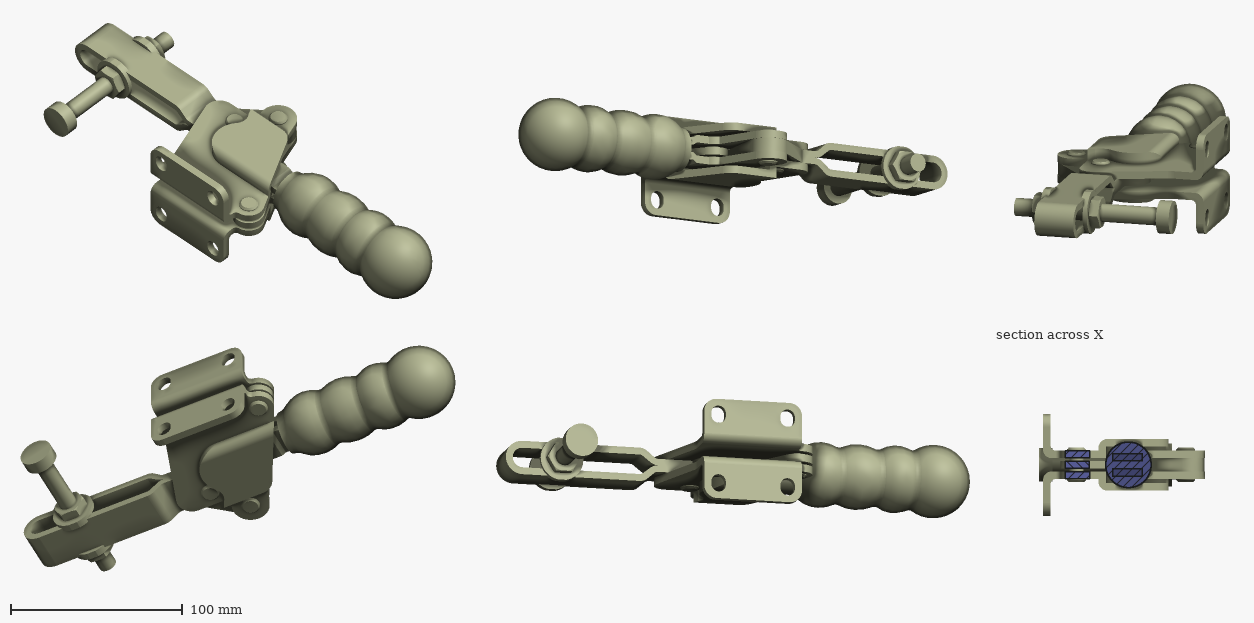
import cadquery as cq
import math


ARM_PIN = (0.0, 0.0)
LEVER_PIN = (16.7, 19.2)
LINK_PIN = (34.5, -13.3)
BASE_PIN = (53.4, -44.5)
PIN_RADIUS = 4.2
HEAD_RADIUS = 5.5
HEAD_HEIGHT = 1.7
HEAD_TAPER = 1.0

SHEET = 4.5
GAP = 4.0
PLATE_FACE = GAP + SHEET

BASE_LEFT = -7.0
BASE_RIGHT = 51.7
BASE_TOP = 9.2
BASE_BOTTOM = -64.0
BASE_WIDTH = 59.5
NOSE_CORNER = (-24.7, BASE_TOP)
KNEE_CORNER = (BASE_LEFT, -44.5)
SHOULDER_CORNER = (35.5, BASE_TOP)
NOSE_RADIUS = 9.2
KNEE_RADIUS = 11.0
SHOULDER_RADIUS = 9.7
BASE_LOBE_RADIUS = 9.2
LOBE_ROOT_RADIUS = 2.8
BEND_INSIDE = 2.8
BEND_OUTSIDE = 5.0
FLANGE_CORNER = 7.5
BEND_TOP = BASE_BOTTOM + SHEET + BEND_INSIDE
SLOT_WIDTH = 8.5
SLOT_LENGTH = 10.3
SLOT_PITCH = 41.5
SLOT_Z = 20.5

BULGE_HEIGHT = 6.7
BULGE_FACE = PLATE_FACE + BULGE_HEIGHT
BULGE_CENTER = (18.5, -15.5)
BULGE_RADIUS = 16.0
BULGE_START_X = 4.5
BULGE_ENTRY_ANGLE = 40
BULGE_EDGE_RADIUS = 5.3

ARM_TIP = -114.0
ARM_TOP = 8.5
ARM_WIDTH = 23.5
ARM_BOTTOM = ARM_TOP - ARM_WIDTH
LOOP_HALF = 10.0
LOOP_SHEET = 4.2
LOOP_BEND = -31.0
LOOP_END = -24.0
LOOP_BEND_RADIUS = 7.0
LOOP_END_RADIUS = 4.0
CRANK_START = -13.5
ARM_LOBE_RADIUS = 10.8
HEEL_CENTER = (10.0, ARM_BOTTOM)
HEEL_RADIUS = 12.0

LEVER_LOBE_RADIUS = 11.0
TANG_HALF = 8.5
LEVER_HEEL_RADIUS = 10.0
TANG_TOP = LINK_PIN[1] - LEVER_HEEL_RADIUS + 2 * TANG_HALF
TANG_CORNER_X = 36.7
JOG_START = 49.7
JOG_END = 52.2
LINK_HALF = 2.2
LINK_RADIUS = 9.2
TANG_IN_GRIP = 27.8

GRIP_AXIS_Y = -14.2
GRIP_START = 56.5
GRIP_END = 164.0
BALL_RADIUS = 21.5
BALL_START = 131.0
NECK_RADIUS = 12.8
NECK_END = (62.2, 15.0)
NECK_SAG = 0.5
GRIP_BULGES = [
    (73.6, 19.2, 83.5, 17.0),
    (97.0, 19.2, 106.7, 17.0),
    (120.0, 19.7, 127.5, 17.8),
]
GROOVE_WIDTH = 3.3
GROOVE_DEPTH = 0.3
TANG_END = GRIP_START + TANG_IN_GRIP

SPINDLE_X = -81.0
SPINDLE_RADIUS = 5.3
SPINDLE_TOP = 28.5
SPINDLE_BOTTOM = -66.0
SPINDLE_HEAD_RADIUS = 9.7
SPINDLE_HEAD_HEIGHT = 7.8
NUT_FLATS = 17.0
NUT_HEIGHT = 5.8
NUT_CHAMFER_HEIGHT = 0.5
NUT_CHAMFER_DEPTH = 1.0
WASHER_RADIUS = 12.8
WASHER_HALF_Z = 12.5
WASHER_PLATE = 2.5
WASHER_LIP = 2.0

NEAR = 0.3
ROOM = 166.7


def along(center, radius, angle):
    """Point on a circle at an angle in radians."""
    return (center[0] + radius * math.cos(angle), center[1] + radius * math.sin(angle))


def tangent_angle(c1, r1, c2, r2, side):
    """Angle of the shared normal of an outer tangent; side +1 is left of the way from c1 to c2."""
    way = math.atan2(c2[1] - c1[1], c2[0] - c1[0])
    return way + side * math.acos((r1 - r2) / math.dist(c1, c2))


def slab(sketch_points, z_low, z_high):
    return cq.Workplane("XY", origin=(0, 0, z_low)).polyline(sketch_points).close().extrude(z_high - z_low)


def disc(center, radius, z_low, z_high):
    return cq.Workplane("XY", origin=(*center, z_low)).circle(radius).extrude(z_high - z_low)


def strap(c1, r1, c2, r2, z_low, z_high):
    """Flat strap with round ends joined by the two outer tangents."""
    left = tangent_angle(c1, r1, c2, r2, 1)
    right = tangent_angle(c1, r1, c2, r2, -1)
    sides = [along(c1, r1, left), along(c2, r2, left), along(c2, r2, right), along(c1, r1, right)]
    body = slab(sides, z_low, z_high)
    return body.union(disc(c1, r1, z_low, z_high)).union(disc(c2, r2, z_low, z_high)).clean()


def fillet_corner(body, corner, radius):
    """Round the upright edge that stands at a corner of a flat plate."""
    box = cq.selectors.BoxSelector(
        (corner[0] - NEAR, corner[1] - NEAR, -ROOM), (corner[0] + NEAR, corner[1] + NEAR, ROOM)
    )
    return body.edges("|Z").edges(box).fillet(radius)


def both_sides(half):
    return [half, half.mirror("XY")]


def pin_shank(center, half_length):
    return disc(center, PIN_RADIUS, -half_length, half_length)


def rivet(center):
    """Pin through both plates with a tapered head on each outer face."""
    head = disc(center, HEAD_RADIUS, PLATE_FACE, PLATE_FACE + HEAD_HEIGHT)
    head = head.faces(">Z").chamfer(HEAD_TAPER, HEAD_TAPER)
    body = pin_shank(center, PLATE_FACE)
    for side in both_sides(head):
        body = body.union(side)
    return body


def side_outline(z_low, z_high):
    lobe_angle = tangent_angle(SHOULDER_CORNER, 0, BASE_PIN, BASE_LOBE_RADIUS, 1)
    plate = slab(
        [
            NOSE_CORNER,
            SHOULDER_CORNER,
            along(BASE_PIN, BASE_LOBE_RADIUS, lobe_angle),
            BASE_PIN,
            (BASE_RIGHT, BASE_PIN[1]),
            (BASE_RIGHT, BEND_TOP),
            (BASE_LEFT, BEND_TOP),
            KNEE_CORNER,
        ],
        z_low,
        z_high,
    )
    plate = plate.union(disc(BASE_PIN, BASE_LOBE_RADIUS, z_low, z_high))
    plate = fillet_corner(plate, NOSE_CORNER, NOSE_RADIUS)
    plate = fillet_corner(plate, KNEE_CORNER, KNEE_RADIUS)
    plate = fillet_corner(plate, SHOULDER_CORNER, SHOULDER_RADIUS)
    inset = BASE_PIN[0] - BASE_RIGHT
    lobe_root = (BASE_RIGHT, BASE_PIN[1] - math.sqrt(BASE_LOBE_RADIUS**2 - inset**2))
    return fillet_corner(plate, lobe_root, LOBE_ROOT_RADIUS)


def bulge_region(offset, z_high):
    """Region right of the S-shaped bulge wall, moved inwards by an offset; open to the top and right."""
    outer = BULGE_RADIUS - offset
    inner = math.dist(ARM_PIN, BULGE_CENTER) - outer
    way = math.atan2(BULGE_CENTER[1], BULGE_CENTER[0])
    entry = math.radians(BULGE_ENTRY_ANGLE)
    bottom = BULGE_CENTER[1] - outer
    wall = (
        cq.Workplane("XY", origin=(0, 0, GAP))
        .moveTo(BULGE_START_X + offset, BASE_TOP)
        .lineTo(*along(ARM_PIN, inner, entry))
        .threePointArc(along(ARM_PIN, inner, (entry + way) / 2), along(ARM_PIN, inner, way))
        .threePointArc(along(BULGE_CENTER, outer, math.pi), (BULGE_CENTER[0], bottom))
        .lineTo(ROOM, bottom)
        .lineTo(ROOM, ROOM)
        .lineTo(BULGE_START_X + offset, ROOM)
        .close()
    )
    return wall.extrude(z_high - GAP)


def bulge():
    bottom = BULGE_CENTER[1] - BULGE_RADIUS
    section = (
        cq.Workplane("YZ", origin=(-ROOM, 0, 0))
        .moveTo(bottom, 0)
        .lineTo(bottom, BULGE_FACE - BULGE_EDGE_RADIUS)
        .radiusArc((bottom + BULGE_EDGE_RADIUS, BULGE_FACE), BULGE_EDGE_RADIUS)
        .lineTo(ROOM, BULGE_FACE)
        .lineTo(ROOM, 0)
        .close()
        .extrude(2 * ROOM)
    )
    return side_outline(GAP, BULGE_FACE).intersect(bulge_region(0, BULGE_FACE)).intersect(section)


def flange():
    flange_top = BASE_BOTTOM + SHEET
    half_width = BASE_WIDTH / 2
    bracket = (
        cq.Workplane("YZ", origin=(BASE_LEFT, 0, 0))
        .moveTo(BEND_TOP, GAP)
        .lineTo(BASE_BOTTOM + BEND_OUTSIDE, GAP)
        .radiusArc((BASE_BOTTOM, GAP + BEND_OUTSIDE), BEND_OUTSIDE)
        .lineTo(BASE_BOTTOM, half_width)
        .lineTo(flange_top, half_width)
        .lineTo(flange_top, PLATE_FACE + BEND_INSIDE)
        .radiusArc((BEND_TOP, PLATE_FACE), -BEND_INSIDE)
        .close()
        .extrude(BASE_RIGHT - BASE_LEFT)
    )
    bracket = bracket.edges("|Y and >Z").fillet(FLANGE_CORNER)
    middle = (BASE_LEFT + BASE_RIGHT) / 2
    slots = (
        cq.Workplane("XZ", origin=(middle, 0, SLOT_Z))
        .pushPoints([(-SLOT_PITCH / 2, 0), (SLOT_PITCH / 2, 0)])
        .slot2D(SLOT_LENGTH, SLOT_WIDTH, 90)
        .extrude(ROOM)
    )
    return bracket.cut(slots)


def base():
    cavity = bulge_region(SHEET, BULGE_FACE - SHEET)
    half = side_outline(GAP, PLATE_FACE).union(bulge()).cut(cavity).union(flange())
    body = rivet(ARM_PIN).union(rivet(BASE_PIN))
    for side in both_sides(half):
        body = body.union(side)
    return body


def arm_loop():
    half_slope = math.atan2(LOOP_HALF - GAP, LOOP_END - LOOP_BEND) / 2
    straight = ARM_TIP + LOOP_HALF
    outside = (
        cq.Workplane("XZ", origin=(0, ARM_TOP, 0))
        .moveTo(straight, LOOP_HALF)
        .lineTo(LOOP_BEND, LOOP_HALF)
        .lineTo(LOOP_END, GAP)
        .lineTo(CRANK_START, GAP)
        .lineTo(CRANK_START, -GAP)
        .lineTo(LOOP_END, -GAP)
        .lineTo(LOOP_BEND, -LOOP_HALF)
        .lineTo(straight, -LOOP_HALF)
        .threePointArc((ARM_TIP, 0), (straight, LOOP_HALF))
        .close()
        .extrude(ARM_WIDTH)
    )
    inner_half = LOOP_HALF - LOOP_SHEET
    inner_bend = LOOP_BEND - LOOP_SHEET * math.tan(half_slope)
    inner_end = LOOP_END - GAP * math.tan(half_slope)
    meet_radius = LOOP_END_RADIUS + GAP
    meet_length = meet_radius * math.tan(half_slope)
    inside = (
        cq.Workplane("XZ", origin=(0, ARM_TOP, 0))
        .moveTo(straight, 0)
        .lineTo(straight - inner_half, 0)
        .radiusArc((straight, inner_half), inner_half)
        .lineTo(inner_bend, inner_half)
        .lineTo(*along((inner_end, 0), meet_length, math.pi - 2 * half_slope))
        .radiusArc((inner_end + meet_length, 0), -meet_radius)
        .close()
        .extrude(ARM_WIDTH)
    )
    for bend_x, radius in ((LOOP_BEND, LOOP_BEND_RADIUS), (LOOP_END, LOOP_END_RADIUS)):
        box = cq.selectors.BoxSelector((bend_x - NEAR, -ROOM, -ROOM), (bend_x + NEAR, ROOM, ROOM))
        outside = outside.edges("|Y").edges(box).fillet(radius)
    box = cq.selectors.BoxSelector((inner_bend - NEAR, -ROOM, -ROOM), (inner_bend + NEAR, ROOM, ROOM))
    inside = inside.edges("|Y").edges(box).fillet(LOOP_BEND_RADIUS - LOOP_SHEET)
    for side in both_sides(inside):
        outside = outside.cut(side)
    return outside


def arm():
    shoulder = (CRANK_START, ARM_TOP)
    lobe_angle = tangent_angle(shoulder, 0, LEVER_PIN, ARM_LOBE_RADIUS, 1)
    crank = slab(
        [
            shoulder,
            along(LEVER_PIN, ARM_LOBE_RADIUS, lobe_angle),
            LEVER_PIN,
            HEEL_CENTER,
            (CRANK_START, ARM_BOTTOM),
        ],
        -GAP,
        GAP,
    )
    web = strap(LEVER_PIN, ARM_LOBE_RADIUS, HEEL_CENTER, HEEL_RADIUS, -GAP, GAP)
    body = arm_loop().union(crank).union(web)
    return body.cut(pin_shank(ARM_PIN, GAP)).cut(pin_shank(LEVER_PIN, GAP))


def lever_strip():
    corner = (TANG_CORNER_X, TANG_TOP)
    right_angle = tangent_angle(corner, 0, LEVER_PIN, LEVER_LOBE_RADIUS, -1)
    left_angle = tangent_angle(LEVER_PIN, LEVER_LOBE_RADIUS, LINK_PIN, LEVER_HEEL_RADIUS, -1)
    tang_bottom = TANG_TOP - 2 * TANG_HALF
    elbow = slab(
        [
            LEVER_PIN,
            along(LEVER_PIN, LEVER_LOBE_RADIUS, right_angle),
            corner,
            (JOG_START, TANG_TOP),
            (JOG_START, tang_bottom),
            (LINK_PIN[0], tang_bottom),
            LINK_PIN,
            along(LINK_PIN, LEVER_HEEL_RADIUS, left_angle),
            along(LEVER_PIN, LEVER_LOBE_RADIUS, left_angle),
        ],
        GAP,
        PLATE_FACE,
    )
    lobe = disc(LEVER_PIN, LEVER_LOBE_RADIUS, GAP, PLATE_FACE)
    heel = disc(LINK_PIN, LEVER_HEEL_RADIUS, GAP, PLATE_FACE)
    tang = (
        cq.Workplane("XZ", origin=(0, TANG_TOP, 0))
        .moveTo(JOG_START, GAP)
        .lineTo(JOG_END, LINK_HALF)
        .lineTo(TANG_END, LINK_HALF)
        .lineTo(TANG_END, LINK_HALF + SHEET)
        .lineTo(JOG_END, LINK_HALF + SHEET)
        .lineTo(JOG_START, PLATE_FACE)
        .close()
        .extrude(2 * TANG_HALF)
    )
    return elbow.union(lobe).union(heel).union(tang)


def lever():
    body = rivet(LEVER_PIN).union(pin_shank(LINK_PIN, PLATE_FACE))
    for side in both_sides(lever_strip()):
        body = body.union(side)
    return body


def link():
    body = strap(LINK_PIN, LINK_RADIUS, BASE_PIN, LINK_RADIUS, -LINK_HALF, LINK_HALF)
    return body.cut(pin_shank(LINK_PIN, LINK_HALF)).cut(pin_shank(BASE_PIN, LINK_HALF))


def grip(tang_body):
    ball_x = GRIP_END - BALL_RADIUS
    ball_start_radius = math.sqrt(BALL_RADIUS**2 - (ball_x - BALL_START) ** 2)
    neck_middle = ((GRIP_START + NECK_END[0]) / 2, (NECK_RADIUS + NECK_END[1]) / 2 - NECK_SAG)
    profile = (
        cq.Workplane("XZ", origin=(0, GRIP_AXIS_Y, 0))
        .moveTo(GRIP_START, 0)
        .lineTo(GRIP_START, NECK_RADIUS)
        .threePointArc(neck_middle, NECK_END)
    )
    for crest_x, crest_radius, end_x, end_radius in GRIP_BULGES:
        is_last = end_x + GROOVE_WIDTH >= BALL_START
        next_start = (BALL_START, ball_start_radius) if is_last else (end_x + GROOVE_WIDTH, end_radius)
        profile = profile.threePointArc((crest_x, crest_radius), (end_x, end_radius))
        profile = profile.threePointArc((end_x + GROOVE_WIDTH / 2, end_radius - GROOVE_DEPTH), next_start)
    profile = profile.threePointArc((ball_x, BALL_RADIUS), (GRIP_END, 0)).close()
    body = profile.revolve(360, (0, 0, 0), (1, 0, 0))
    return body.cut(tang_body)


def spindle():
    height = SPINDLE_TOP - SPINDLE_BOTTOM
    at_bottom = cq.Workplane("XZ", origin=(SPINDLE_X, SPINDLE_BOTTOM, 0))
    shank = at_bottom.circle(SPINDLE_RADIUS).extrude(-height)
    head = at_bottom.circle(SPINDLE_HEAD_RADIUS).extrude(-SPINDLE_HEAD_HEIGHT)
    return shank.union(head)


def washer_nut():
    """Nut and washer pointing up (+Y) from an arm face at Y = 0, with lips down both arm sides."""
    at_lip = cq.Workplane("XZ", origin=(SPINDLE_X, -WASHER_LIP, 0))
    washer = at_lip.circle(WASHER_RADIUS).extrude(-(WASHER_LIP + WASHER_PLATE))
    trim = cq.Workplane("XY").box(ROOM, ROOM, 2 * WASHER_HALF_Z).translate((SPINDLE_X, 0, 0))
    channel = cq.Workplane("XY").box(ROOM, ROOM, 2 * LOOP_HALF).translate((SPINDLE_X, -ROOM / 2, 0))
    across_corners = NUT_FLATS / math.cos(math.pi / 6)
    at_plate = cq.Workplane("XZ", origin=(SPINDLE_X, WASHER_PLATE, 0))
    nut = at_plate.polygon(6, across_corners).extrude(-NUT_HEIGHT)
    rounding = at_plate.circle(across_corners / 2).extrude(-NUT_HEIGHT)
    rounding = rounding.edges().chamfer(NUT_CHAMFER_HEIGHT, NUT_CHAMFER_DEPTH)
    body = washer.intersect(trim).cut(channel).union(nut.intersect(rounding))
    bore = cq.Workplane("XZ", origin=(SPINDLE_X, ROOM, 0)).circle(SPINDLE_RADIUS).extrude(2 * ROOM)
    return body.cut(bore)


clamp_lever = lever()
upper_nut = washer_nut().translate((0, ARM_TOP, 0))
lower_nut = washer_nut().mirror("XZ").translate((0, ARM_BOTTOM, 0))
bodies = [base(), arm(), clamp_lever, link(), grip(clamp_lever), spindle(), upper_nut, lower_nut]
result = cq.Compound.makeCompound([body.solids().val() for body in bodies])